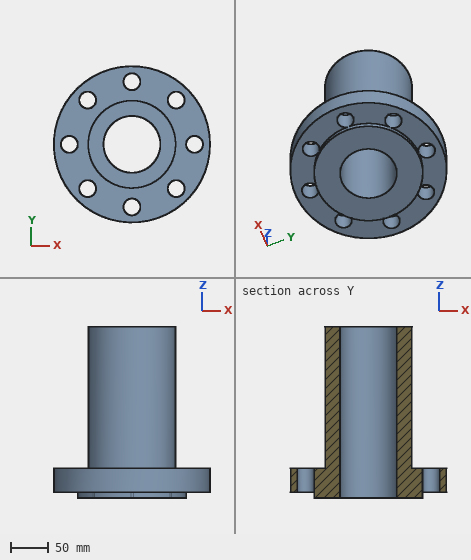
import cadquery as cq

total_height = 230.2
flange_diameter = 210.0
flange_thickness = 32.5

face_diameter = 146.0
face_height = 7.8

neck_diameter = 117.5
bore_diameter = 76.0

bolt_count = 8
bolt_circle_diameter = 168.0
bolt_hole_diameter = 22.3


def cylinder(diameter, bottom, height):
    """Upright cylinder on the Z axis, starting at the given level."""
    return cq.Workplane("XY").workplane(offset=bottom).circle(diameter / 2).extrude(height)


sealing_face = cylinder(face_diameter, 0, face_height)
flange = cylinder(flange_diameter, face_height, flange_thickness)
neck_bottom = face_height + flange_thickness
neck = cylinder(neck_diameter, neck_bottom, total_height - neck_bottom)
body = sealing_face.union(flange).union(neck)

bore = cylinder(bore_diameter, 0, total_height)

bolt_holes = (
    cq.Workplane("XY")
    .polarArray(bolt_circle_diameter / 2, 0, 360, bolt_count)
    .circle(bolt_hole_diameter / 2)
    .extrude(neck_bottom)
)

result = body.cut(bore).cut(bolt_holes)